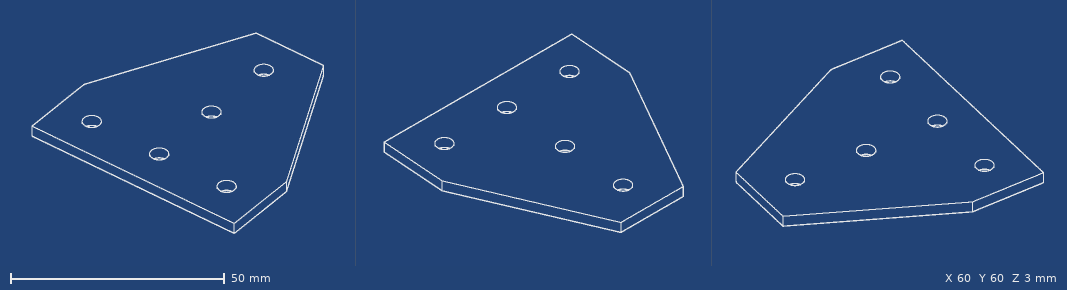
import cadquery as cq

side = 60.0
thickness = 3.0
hole_diameter = 4.5
cell = side / 3

half_side = side / 2
half_tip = cell / 2
shoulder_y = -half_side + cell
outline = [
    (-half_side, -half_side),
    (half_side, -half_side),
    (half_side, shoulder_y),
    (half_tip, half_side),
    (-half_tip, half_side),
    (-half_side, shoulder_y),
]
plate = cq.Workplane("XY").polyline(outline).close().extrude(thickness)

hole_centres = [(-cell, -cell), (0, -cell), (cell, -cell), (0, 0), (0, cell)]
result = plate.faces(">Z").workplane(origin=(0, 0, thickness)).pushPoints(hole_centres).hole(hole_diameter)